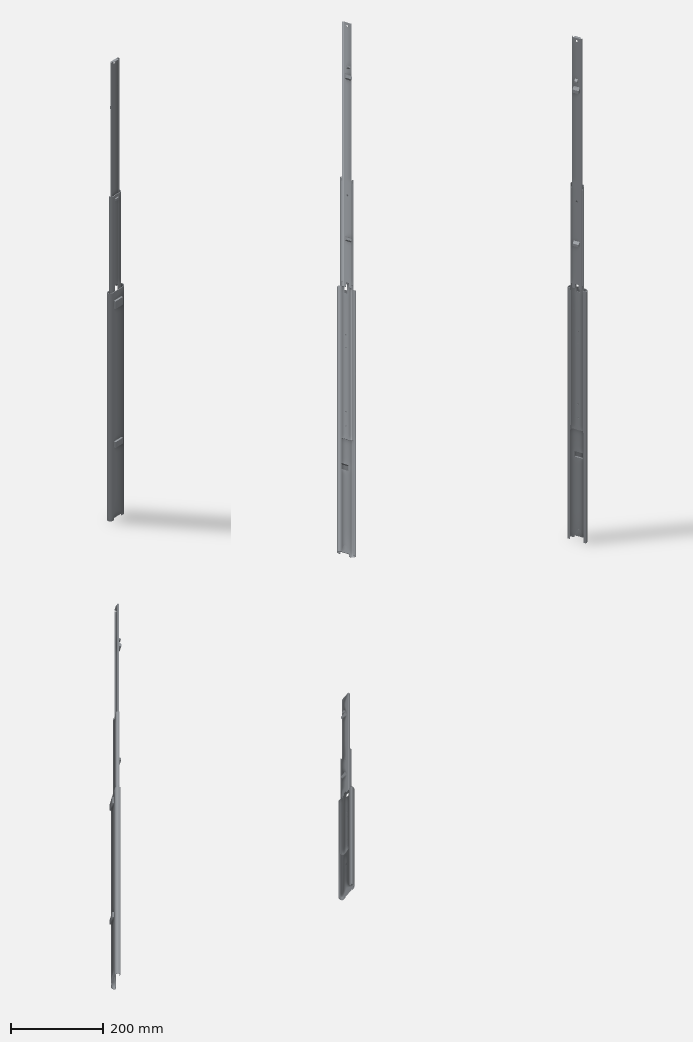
import cadquery as cq


total_width_x = 21.01
total_height_y = 45.46
total_length = 1300.0
hook_reach = total_width_x / 2
drawer_face_x = -5.1
sheet = 1.2

outer_length = total_length / 2
outer_web_x = 6.2
outer_bend = 6.8
outer_lip_bend = 2.2
outer_mouth = 32.8

middle_length = 637.0
middle_bottom = 283.0
middle_top = middle_bottom + middle_length
middle_height = 31.8
middle_open_x = -4.0
middle_web_x = 2.8
middle_bend = 4.4
middle_rib_height = 12.0
middle_rib_depth = 0.6

inner_length = 648.0
inner_bottom = total_length - inner_length
inner_height = 24.0
inner_flange_x = -0.6
inner_bend = 2.4

strip_end_gap = 10.0
outer_strip_x = (-2.9, outer_web_x - outer_bend)
outer_strip_y = (middle_height / 2, total_height_y / 2 - sheet)
inner_strip_x = (middle_open_x, middle_web_x - middle_bend)
inner_strip_y = (inner_height / 2, middle_height / 2 - sheet)

outer_hook_width = 22.0
outer_hooks = ((604.0, 626.0), (208.0, 224.5))
notch_width = 23.0
notch_height = 6.0
stop_top = 24.0
stop_top_width = 5.0
stop_depth = 0.6

stop_boss_z = (905.0, 911.0)
stop_boss_width = 10.0
stop_boss_x = 5.0
window_width = 8.0
window_bottom = 640.0
window_top = 663.0
small_hole_diameter = 3.0
small_hole_heights = (315.0, 350.0, 507.0, 538.0)

inner_hooks = ((1187.0, 1195.0, 7.0), (1160.0, 1176.0, 15.0), (764.0, 776.0, 14.0))
inner_hole_diameter = 5.0
inner_hole_heights = (877.0, 1292.0)
end_tab_width = 15.0
end_tab_x = 1.0


def block(x_range, height_y, z_range):
    """Box centred on y = 0 between the given X and Z limits."""
    return (
        cq.Workplane("XY")
        .box(x_range[1] - x_range[0], height_y, z_range[1] - z_range[0], centered=(False, True, False))
        .translate((x_range[0], 0, z_range[0]))
    )


def rounded_bar(x_range, height_y, z_range, left_radius, right_radius):
    """Long bar whose Z edges are rounded on its -X and +X sides."""
    bar = block(x_range, height_y, z_range)
    if left_radius > 0:
        bar = bar.edges("|Z and <X").fillet(left_radius)
    if right_radius > 0:
        bar = bar.edges("|Z and >X").fillet(right_radius)
    return bar


def x_hole(height, diameter):
    """Cutter along X for a round hole through a rail's web."""
    cutter_length = 2 * total_width_x
    return (
        cq.Workplane("YZ")
        .workplane(offset=-cutter_length / 2)
        .center(0, height)
        .circle(diameter / 2)
        .extrude(cutter_length)
    )


def wedge(root_x, tip_x, z_range, width):
    """Hook that stands out from root_x to tip_x, square below and sloping away above."""
    bottom, top = z_range
    middle = (bottom + top) / 2
    profile = [(root_x, bottom), (tip_x, bottom), (tip_x, middle), (root_x, top)]
    return cq.Workplane("XZ").polyline(profile).close().extrude(width / 2, both=True)


def make_outer_rail():
    z_range = (0, outer_length)
    web_inside_x = outer_web_x - sheet
    rail = rounded_bar(
        (drawer_face_x, outer_web_x), total_height_y, z_range, outer_lip_bend, outer_bend
    )
    cavity = rounded_bar(
        (drawer_face_x + sheet, web_inside_x),
        total_height_y - 2 * sheet,
        z_range,
        outer_lip_bend - sheet,
        outer_bend - sheet,
    )
    mouth = block((drawer_face_x, 0), outer_mouth, z_range)
    rail = rail.cut(cavity).cut(mouth)

    for bottom, top in outer_hooks:
        rail = rail.union(block((web_inside_x, hook_reach), outer_hook_width, (bottom, top)))
        hollow_x = (web_inside_x, hook_reach - sheet)
        hollow_z = (bottom + sheet, top - sheet)
        rail = rail.cut(block(hollow_x, outer_hook_width - 2 * sheet, hollow_z))

    rail = rail.cut(block((0, outer_web_x), notch_width, (0, notch_height)))
    stop = (
        cq.Workplane("YZ")
        .workplane(offset=web_inside_x - stop_depth)
        .polyline([
            (-notch_width / 2, notch_height),
            (notch_width / 2, notch_height),
            (stop_top_width / 2, stop_top),
            (-stop_top_width / 2, stop_top),
        ])
        .close()
        .extrude(sheet)
    )
    return rail.union(stop)


def make_middle_rail():
    z_range = (middle_bottom, middle_top)
    web_inside_x = middle_web_x - sheet
    rail = rounded_bar((middle_open_x, middle_web_x), middle_height, z_range, 0, middle_bend)
    cavity = rounded_bar(
        (middle_open_x, web_inside_x), middle_height - 2 * sheet, z_range, 0, middle_bend - sheet
    )
    rail = rail.cut(cavity)

    rib_x = web_inside_x - middle_rib_depth
    rail = rail.union(block((rib_x, middle_web_x), middle_rib_height, z_range))
    rail = rail.cut(block((rib_x + sheet, middle_web_x), middle_rib_height - 2 * sheet, z_range))

    rail = rail.union(block((rib_x, stop_boss_x), stop_boss_width, stop_boss_z))
    rail = rail.cut(block((rib_x, middle_web_x), window_width, (window_bottom, window_top)))
    for height in small_hole_heights:
        rail = rail.cut(x_hole(height, small_hole_diameter))
    return rail


def make_inner_rail():
    z_range = (inner_bottom, total_length)
    web_inside_x = drawer_face_x + sheet
    rail = rounded_bar((drawer_face_x, inner_flange_x), inner_height, z_range, inner_bend, 0)
    cavity = rounded_bar(
        (web_inside_x, inner_flange_x), inner_height - 2 * sheet, z_range, inner_bend - sheet, 0
    )
    rail = rail.cut(cavity)

    for bottom, top, width in inner_hooks:
        rail = rail.union(wedge(web_inside_x, -hook_reach, (bottom, top), width))
    for height in inner_hole_heights:
        rail = rail.cut(x_hole(height, inner_hole_diameter))

    end_tab_z = (total_length - sheet, total_length)
    rail = rail.union(block((drawer_face_x, end_tab_x), end_tab_width, end_tab_z))
    return rail.cut(block((drawer_face_x, web_inside_x), window_width, (inner_bottom, window_top)))


def make_ball_strip(x_range, y_range, z_range, side):
    """Straight ball strip filling the race on the +Y (side = 1) or -Y (side = -1) side."""
    strip = block(x_range, y_range[1] - y_range[0], z_range)
    return strip.translate((0, side * (y_range[0] + y_range[1]) / 2, 0))


outer_rail = make_outer_rail()
middle_rail = make_middle_rail()
inner_rail = make_inner_rail()

ball_strips = []
outer_strip_z = (middle_bottom + strip_end_gap, outer_length - strip_end_gap)
inner_strip_z = (inner_bottom + strip_end_gap, middle_top - strip_end_gap)
for side in (-1, 1):
    ball_strips.append(make_ball_strip(outer_strip_x, outer_strip_y, outer_strip_z, side))
    ball_strips.append(make_ball_strip(inner_strip_x, inner_strip_y, inner_strip_z, side))

result = cq.Compound.makeCompound([
    outer_rail.val(),
    middle_rail.val(),
    inner_rail.val(),
    *[strip.val() for strip in ball_strips],
])